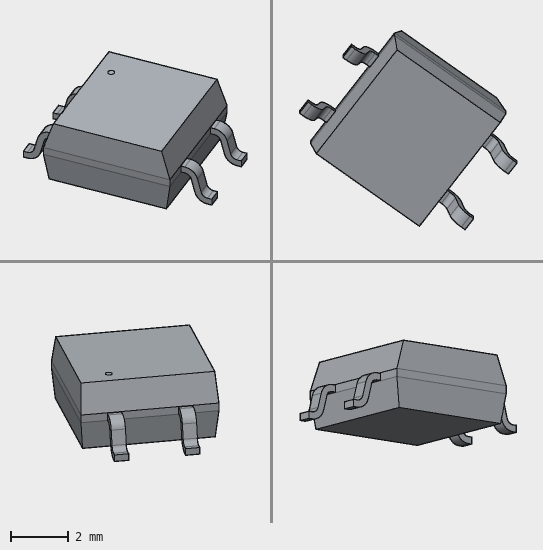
import cadquery as cq
import math

span_x = 7.19
height = 2.42

band_x = 4.83
band_y = 4.93
band_height = 0.29
band_bottom = (height - band_height) / 2
band_top = band_bottom + band_height
top_x = 4.13
top_y = 4.78
bottom_x = 4.48
bottom_y = 4.74

lead_thickness = 0.254
lead_width = 0.508
lead_pitch = 2.54
lead_top = (height + lead_thickness) / 2
shoulder_length = 0.15
inner_radius = 0.25
outer_radius = inner_radius + lead_thickness
bend_angle = math.radians(75)

marker_diameter = 0.24
marker_depth = 0.05
marker_x = -1.48
marker_y = lead_pitch / 2


def tapered_block(z_start, size_start, z_end, size_end):
    """Block whose rectangular section changes from one size to another along Z."""
    return (
        cq.Workplane("XY")
        .workplane(offset=z_start)
        .rect(*size_start)
        .workplane(offset=z_end - z_start)
        .rect(*size_end)
        .loft(ruled=True)
    )


def make_marker():
    """Disc under the top face; it also serves as the cutter for its own recess."""
    return (
        cq.Workplane("XY", origin=(marker_x, marker_y, height - marker_depth))
        .circle(marker_diameter / 2)
        .extrude(marker_depth)
    )


def make_housing():
    """Band and its two tapered blocks as one solid, with the marker recess."""
    band = cq.Workplane("XY", origin=(0, 0, band_bottom)).rect(band_x, band_y).extrude(band_height)
    upper = tapered_block(band_top, (band_x, band_y), height, (top_x, top_y))
    lower = tapered_block(0, (bottom_x, bottom_y), band_bottom, (band_x, band_y))
    return band.union(upper).union(lower).cut(make_marker())


def arc_point(center, radius, angle):
    """Point on a bend arc; the angle is measured from straight up, positive toward +X."""
    return (center[0] + radius * math.sin(angle), center[1] + radius * math.cos(angle))


def make_lead(y):
    """Lead on the +X side, butting against the parting band at the given Y."""
    root_x = band_x / 2
    tip_x = span_x / 2

    shoulder_center = (root_x + shoulder_length, lead_top - outer_radius)
    foot_center_z = outer_radius
    radius_sum = inner_radius + outer_radius
    leg_drop = shoulder_center[1] - foot_center_z + radius_sum * math.cos(bend_angle)
    leg_run = leg_drop / math.tan(bend_angle)
    foot_center = (shoulder_center[0] + radius_sum * math.sin(bend_angle) + leg_run, foot_center_z)
    half_bend = bend_angle / 2
    foot_bend_top = math.pi + bend_angle
    foot_bend_middle = math.pi + half_bend

    profile = (
        cq.Workplane("XZ", origin=(0, y + lead_width / 2, 0))
        .moveTo(root_x, lead_top)
        .lineTo(*arc_point(shoulder_center, outer_radius, 0))
        .threePointArc(
            arc_point(shoulder_center, outer_radius, half_bend),
            arc_point(shoulder_center, outer_radius, bend_angle),
        )
        .lineTo(*arc_point(foot_center, inner_radius, foot_bend_top))
        .threePointArc(
            arc_point(foot_center, inner_radius, foot_bend_middle),
            arc_point(foot_center, inner_radius, math.pi),
        )
        .lineTo(tip_x, lead_thickness)
        .lineTo(tip_x, 0)
        .lineTo(*arc_point(foot_center, outer_radius, math.pi))
        .threePointArc(
            arc_point(foot_center, outer_radius, foot_bend_middle),
            arc_point(foot_center, outer_radius, foot_bend_top),
        )
        .lineTo(*arc_point(shoulder_center, inner_radius, bend_angle))
        .threePointArc(
            arc_point(shoulder_center, inner_radius, half_bend),
            arc_point(shoulder_center, inner_radius, 0),
        )
        .lineTo(root_x, lead_top - lead_thickness)
        .close()
    )
    return profile.extrude(lead_width)


housing = make_housing()
marker = make_marker()

leads = []
for lead_y in (-lead_pitch / 2, lead_pitch / 2):
    lead = make_lead(lead_y)
    leads.append(lead.val())
    leads.append(lead.mirror("YZ").val())

result = cq.Compound.makeCompound([*housing.solids().vals(), marker.val(), *leads])